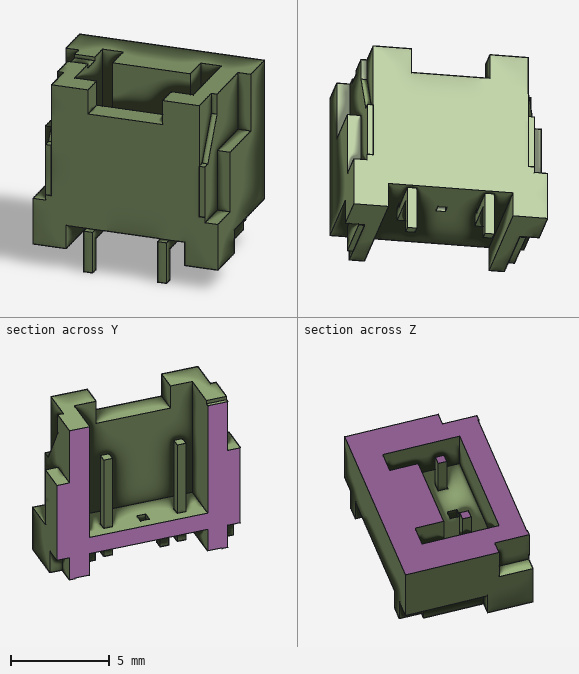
import cadquery as cq


width = 10.0
height = 8.89
depth = 6.81
proud = 0.04
front = -depth
metal_front = front - proud

channel_width = 6.42
channel_height = 1.28
underside = channel_height - height

recess_depth = 0.69
step_y = (-2.0, -5.01)
step_z = (-3.11, -6.38)

cavity_width = 6.42
cavity_back = -1.48
cavity_front = -5.56
floor_thickness = 1.0
cavity_floor = underside + floor_thickness
rib_width = 4.2
rib_front = -3.0

notch_width = 4.04
notch_depth = 1.32
groove_back = -2.6
groove_front = -3.6
groove_depth = 0.2

clip_thickness = 0.31
clip_inset = recess_depth + clip_thickness
clip_back = -5.06
clip_slope_top = -1.1
clip_slope_front = -6.4
clip_shoulder = -3.31
clip_lip_bottom = -6.08
clip_foot_back = -1.19
clip_foot_front = -4.39

pin_pitch = 4.0
pin_width = 0.48
pin_back = -3.94
pin_hole_length = 0.52
pin_tip = -2.53
bar_top = -7.77
bar_thickness = 0.52
tail_bottom = -10.0


def block(x_range, y_range, z_range):
    """Box between two limits on each axis."""
    ranges = (x_range, y_range, z_range)
    sizes = [max(r) - min(r) for r in ranges]
    corner = tuple(min(r) for r in ranges)
    return cq.Workplane("XY").box(*sizes, centered=False).translate(corner)


def centred_block(size, y_range, z_range, x=0.0):
    """Box centred on x."""
    return block((x - size / 2, x + size / 2), y_range, z_range)


def side_block(inner, outer, y_range, z_range, side):
    """Box between two insets from the left (-1) or right (+1) wall."""
    x_range = (side * (width / 2 - inner), side * (width / 2 - outer))
    return block(x_range, y_range, z_range)


def side_plate(points, thickness, outer, side):
    """YZ outline made into a plate whose outer face is inset from a side wall."""
    x_left = min(side * (width / 2 - outer), side * (width / 2 - outer - thickness))
    return cq.Workplane("YZ").polyline(points).close().extrude(thickness).translate((x_left, 0, 0))


def make_cavity():
    z_range = (cavity_floor, 0)
    cavity = centred_block(cavity_width, (cavity_front, cavity_back), z_range)
    return cavity.cut(centred_block(rib_width, (rib_front, cavity_back), z_range))


def cut_side(body, side):
    """Cut the stepped recess, the clearance above the clip and the rear foot relief."""
    recess = [
        (step_y[0], 0),
        (step_y[0], step_z[0]),
        (step_y[1], step_z[0]),
        (step_y[1], step_z[1]),
        (front, step_z[1]),
        (front, 0),
    ]
    clearance = [
        (clip_back, 0),
        (clip_back, clip_slope_top),
        (clip_slope_front, clip_shoulder),
        (front, clip_shoulder),
        (front, 0),
    ]
    body = body.cut(side_plate(recess, recess_depth, 0, side))
    body = body.cut(side_plate(clearance, clip_thickness, recess_depth, side))
    return body.cut(side_block(clip_inset, 0, (clip_foot_front, 0), (-height, underside), side))


def add_clip(body, side):
    """Add the exposed front lip and the foot of the embedded clip."""
    lip = side_block(
        clip_inset, recess_depth, (metal_front, clip_slope_front), (clip_lip_bottom, clip_shoulder), side
    )
    foot = side_block(
        clip_inset, recess_depth, (clip_foot_front, clip_foot_back), (-height - proud, underside), side
    )
    return body.union(lip).union(foot)


def make_pin(x):
    blade = centred_block(pin_width, (pin_back - pin_width, pin_back), (bar_top, pin_tip), x)
    bar = centred_block(pin_width, (metal_front, pin_back), (bar_top - bar_thickness, bar_top), x)
    tail_back = metal_front + bar_thickness
    tail = centred_block(pin_width, (metal_front, tail_back), (tail_bottom, bar_top), x)
    return blade.union(bar).union(tail)


result = centred_block(width, (front, 0), (-height, 0))
result = result.cut(centred_block(channel_width, (front, 0), (-height, underside)))
result = result.cut(make_cavity())
result = result.cut(centred_block(notch_width, (front, cavity_front), (-notch_depth, 0)))
result = result.cut(
    block((-width / 2, -cavity_width / 2), (groove_front, groove_back), (-groove_depth, 0))
)

for side in (-1, 1):
    result = cut_side(result, side)
    result = add_clip(result, side)

for hole_x in (-pin_pitch / 2, 0, pin_pitch / 2):
    hole_front = pin_back - pin_hole_length
    hole = centred_block(pin_width, (hole_front, pin_back), (underside, cavity_floor), hole_x)
    result = result.cut(hole)

for pin_x in (-pin_pitch / 2, pin_pitch / 2):
    result = result.union(make_pin(pin_x))